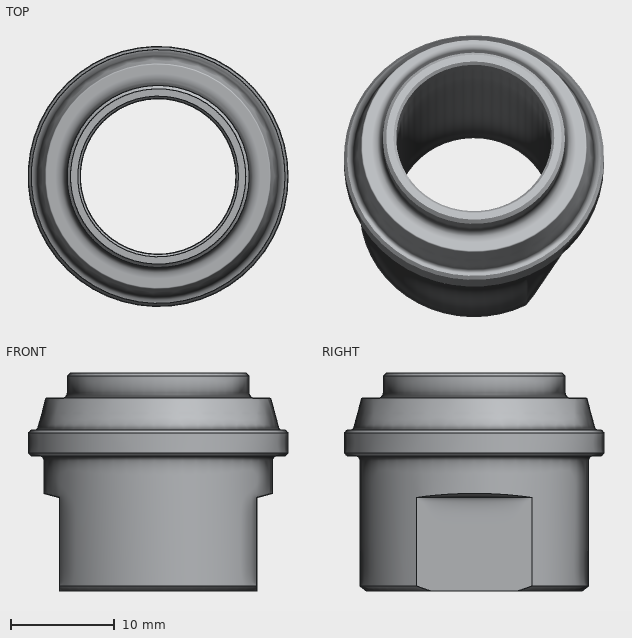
import cadquery as cq
import math

total_height = 21.0
flange_bottom = 13.0
flange_top = 15.5
shoulder_top = 18.55
flat_height = 9.0

bore_radius = 14.95 / 2
neck_radius = 17.5 / 2
body_radius = 22.0 / 2
flange_radius = 25.0 / 2
cone_top_radius = 10.82

flat_offset = 9.5
flat_run_out_angle = 15.0

cone_angle = 15.0
bottom_chamfer_height = 0.5
bottom_chamfer_width = 0.65
flange_chamfer = 0.3
neck_chamfer = 0.32
bore_chamfer = 0.25
neck_fillet = 0.5
body_fillet = 0.4
cone_fillet = 0.3
cone_edge_round = 0.12

cone_base_radius = cone_top_radius + (shoulder_top - flange_top) * math.tan(math.radians(cone_angle))


def edges_at(radius, height):
    """Select the circular edges of given radius and height."""
    margin = 0.002
    reach = radius + margin
    return cq.selectors.BoxSelector(
        (-reach, -reach, height - margin), (reach, reach, height + margin), boundingbox=True
    ) - cq.selectors.BoxSelector(
        (margin - radius, margin - radius, height - margin),
        (radius - margin, radius - margin, height + margin),
        boundingbox=True,
    )


def turned_body():
    """Revolve the stepped half-section about Z, then round its internal corners."""
    section = (
        cq.Workplane("XZ")
        .moveTo(bore_radius, 0)
        .lineTo(body_radius - bottom_chamfer_width, 0)
        .lineTo(body_radius, bottom_chamfer_height)
        .lineTo(body_radius, flange_bottom)
        .lineTo(flange_radius - flange_chamfer, flange_bottom)
        .lineTo(flange_radius, flange_bottom + flange_chamfer)
        .lineTo(flange_radius, flange_top - flange_chamfer)
        .lineTo(flange_radius - flange_chamfer, flange_top)
        .lineTo(cone_base_radius, flange_top)
        .lineTo(cone_top_radius, shoulder_top)
        .lineTo(neck_radius, shoulder_top)
        .lineTo(neck_radius, total_height - neck_chamfer)
        .lineTo(neck_radius - neck_chamfer, total_height)
        .lineTo(bore_radius + bore_chamfer, total_height)
        .lineTo(bore_radius, total_height - bore_chamfer)
        .close()
    )
    body = section.revolve(360, (0, 0, 0), (0, 1, 0))
    rounds = [
        (body_radius, flange_bottom, body_fillet),
        (cone_base_radius, flange_top, cone_fillet),
        (cone_top_radius, shoulder_top, cone_edge_round),
        (neck_radius, shoulder_top, neck_fillet),
    ]
    for radius, height, size in rounds:
        body = body.edges(edges_at(radius, height)).fillet(size)
    return body


def flat_cutter():
    """Block that mills the +X flat; its upper face slopes up toward the outside."""
    depth = flange_radius - flat_offset
    run_out_rise = depth * math.tan(math.radians(flat_run_out_angle))
    return (
        cq.Workplane("XZ")
        .moveTo(flat_offset, 0)
        .lineTo(flange_radius, 0)
        .lineTo(flange_radius, flat_height + run_out_rise)
        .lineTo(flat_offset, flat_height)
        .close()
        .extrude(flange_radius, both=True)
    )


result = turned_body()
for side_angle in (0, 180):
    result = result.cut(flat_cutter().rotate((0, 0, 0), (0, 0, 1), side_angle))